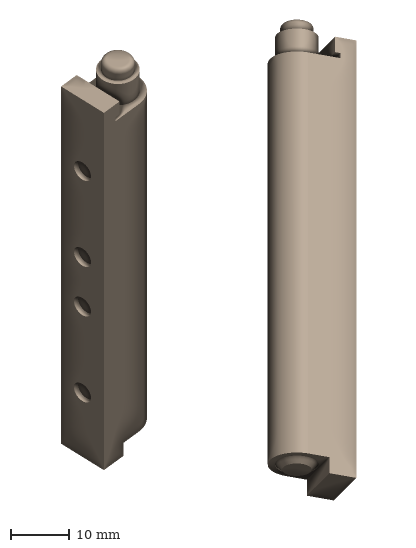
import cadquery as cq

WIDTH = 10.0
TOTAL_HEIGHT = 86.5

BRACKET_HEIGHT = 83.0
BRACKET_FRONT = -9.0
PLATE_THICKNESS = 1.9
TOP_HOOK_REACH = 4.0
TOP_HOOK_BOTTOM = 80.1
BOTTOM_HOOK_REACH = 5.0
RECESS_DIAMETER = 4.0
RECESS_DEPTH = 1.0
LOWEST_RECESS_Z = 15.0
RECESS_PAIR_SPACING = 20.0
RECESS_PAIR_GAP = 11.5

HOUSING_BOTTOM = 3.0
HOUSING_TOP = 79.15
TOP_FLANGE_END = 80.9
TOP_FLANGE_THICKNESS = 1.0
BOTTOM_FLANGE_END = 2.1
BOTTOM_FLANGE_THICKNESS = 2.1

PIN_DIAMETER = 7.5
TIP_DIAMETER = 5.8
TIP_FLAT_DIAMETER = 4.0
SHOULDER_Z = 84.1
PIN_BOTTOM = 2.1
PIN_CHAMFER = 1.2

HOUSING_FRONT = BRACKET_FRONT + PLATE_THICKNESS
TOP_FLANGE_BACK = HOUSING_FRONT + TOP_FLANGE_THICKNESS
BOTTOM_FLANGE_BACK = HOUSING_FRONT + BOTTOM_FLANGE_THICKNESS
UPPER_PAIR_Z = LOWEST_RECESS_Z + RECESS_PAIR_SPACING + RECESS_PAIR_GAP
TIP_FILLET = (TIP_DIAMETER - TIP_FLAT_DIAMETER) / 2


def box_between(y_min, y_max, z_min, z_max):
    """Full-width block spanning the given Y and Z ranges."""
    return (
        cq.Workplane("XY")
        .box(WIDTH, y_max - y_min, z_max - z_min, centered=(True, False, False))
        .translate((0, y_min, z_min))
    )


def make_bracket():
    top_hook_back = BRACKET_FRONT + TOP_HOOK_REACH
    bottom_hook_back = BRACKET_FRONT + BOTTOM_HOOK_REACH
    outline = [
        (BRACKET_FRONT, 0),
        (bottom_hook_back, 0),
        (bottom_hook_back, HOUSING_BOTTOM),
        (BOTTOM_FLANGE_BACK, HOUSING_BOTTOM),
        (BOTTOM_FLANGE_BACK, BOTTOM_FLANGE_END),
        (HOUSING_FRONT, BOTTOM_FLANGE_END),
        (HOUSING_FRONT, TOP_FLANGE_END),
        (TOP_FLANGE_BACK, TOP_FLANGE_END),
        (TOP_FLANGE_BACK, TOP_HOOK_BOTTOM),
        (top_hook_back, TOP_HOOK_BOTTOM),
        (top_hook_back, BRACKET_HEIGHT),
        (BRACKET_FRONT, BRACKET_HEIGHT),
    ]
    bracket = cq.Workplane("YZ").polyline(outline).close().extrude(WIDTH / 2, both=True)

    for pair_z in (LOWEST_RECESS_Z, UPPER_PAIR_Z):
        for recess_z in (pair_z, pair_z + RECESS_PAIR_SPACING):
            recess = (
                cq.Workplane("XZ", origin=(0, BRACKET_FRONT, 0))
                .center(0, recess_z)
                .circle(RECESS_DIAMETER / 2)
                .extrude(-RECESS_DEPTH)
            )
            bracket = bracket.cut(recess)
    return bracket


def make_housing():
    half_width = WIDTH / 2
    body = (
        cq.Workplane("XY", origin=(0, 0, HOUSING_BOTTOM))
        .moveTo(-half_width, HOUSING_FRONT)
        .lineTo(half_width, HOUSING_FRONT)
        .lineTo(half_width, 0)
        .threePointArc((0, half_width), (-half_width, 0))
        .close()
        .extrude(HOUSING_TOP - HOUSING_BOTTOM)
    )
    top_flange = box_between(HOUSING_FRONT, TOP_FLANGE_BACK, HOUSING_TOP, TOP_FLANGE_END)
    bottom_flange = box_between(HOUSING_FRONT, BOTTOM_FLANGE_BACK, BOTTOM_FLANGE_END, HOUSING_BOTTOM)
    bore = (
        cq.Workplane("XY", origin=(0, 0, HOUSING_BOTTOM))
        .circle(PIN_DIAMETER / 2)
        .extrude(HOUSING_TOP - HOUSING_BOTTOM)
    )
    return body.union(top_flange).union(bottom_flange).cut(bore)


def make_pin():
    rod = (
        cq.Workplane("XY", origin=(0, 0, PIN_BOTTOM))
        .circle(PIN_DIAMETER / 2)
        .extrude(SHOULDER_Z - PIN_BOTTOM)
        .faces("<Z")
        .chamfer(PIN_CHAMFER)
    )
    tip = (
        cq.Workplane("XY", origin=(0, 0, SHOULDER_Z))
        .circle(TIP_DIAMETER / 2)
        .extrude(TOTAL_HEIGHT - SHOULDER_Z)
        .faces(">Z")
        .edges()
        .fillet(TIP_FILLET)
    )
    return rod.union(tip)


bracket = make_bracket()
housing = make_housing()
pin = make_pin()

result = cq.Compound.makeCompound([bracket.val(), housing.val(), pin.val()])